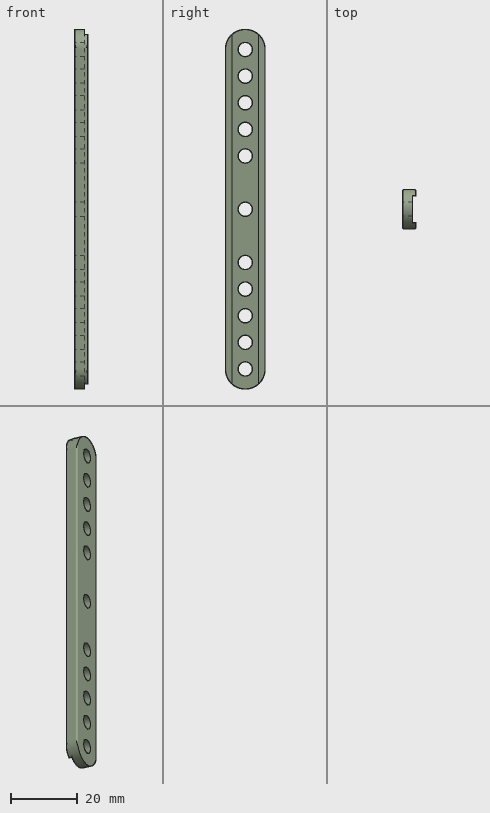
import cadquery as cq

length = 108.0
width = 12.0
thickness = 4.0
edge_radius = 0.5
channel_width = 8.0
channel_depth = 1.0
hole_diameter = 4.2
hole_pitch = 8.0
end_hole_step = 6
skipped_step = 1


def rounded_bar():
    """Bar with rounded long edges, trimmed to full-radius ends."""
    bar = cq.Workplane("XY").box(thickness, width, length).edges("|Z").fillet(edge_radius)
    end_outline = cq.Workplane("YZ").slot2D(length, width, 90).extrude(thickness / 2, both=True)
    return bar.intersect(end_outline)


def channel():
    """Full-length groove in the +X face."""
    center_x = thickness / 2 - channel_depth / 2
    return cq.Workplane("XY").box(channel_depth, channel_width, length).translate((center_x, 0, 0))


def holes():
    """Through holes along the centre line: a middle hole and a row toward each end."""
    steps = range(-end_hole_step, end_hole_step + 1)
    centers = [(0, step * hole_pitch) for step in steps if abs(step) != skipped_step]
    return (
        cq.Workplane("YZ")
        .pushPoints(centers)
        .circle(hole_diameter / 2)
        .extrude(thickness, both=True)
    )


result = rounded_bar().cut(channel()).cut(holes())